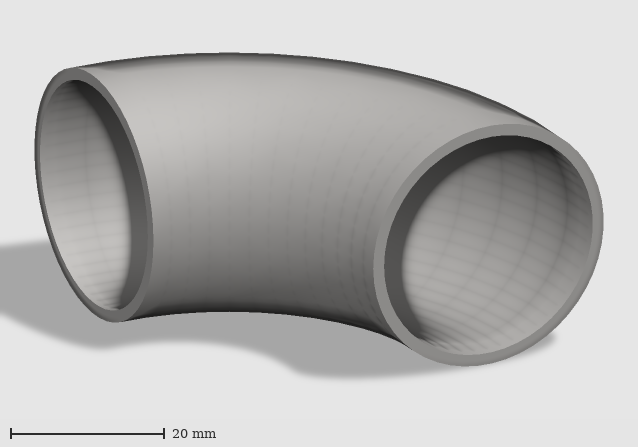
import cadquery as cq

outer_reach = 54.85
pipe_diameter = 33.7
wall_thickness = 1.6
bend_angle = 90.0

outer_radius = pipe_diameter / 2
inner_radius = outer_radius - wall_thickness
bend_radius = outer_reach - outer_radius


def pipe_elbow():
    """Sweep the ring section around the Z axis, from the -Y facing end to the +X facing end."""
    ring_section = (
        cq.Workplane("XZ")
        .center(-bend_radius, 0)
        .circle(outer_radius)
        .circle(inner_radius)
    )
    return ring_section.revolve(bend_angle, (bend_radius, 0), (bend_radius, -1))


result = pipe_elbow()